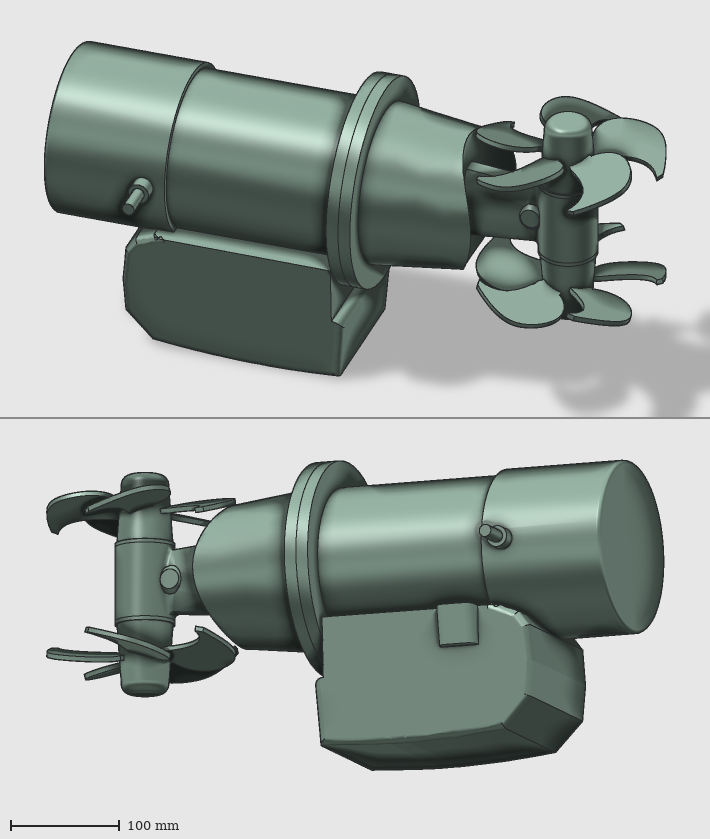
import cadquery as cq
import math

YAW = -2.0

CAP_RADIUS = 80.0
CAP_START = -483.5
CAP_END = -365.5
CAP_FILLET = 4.0
MOTOR_RADIUS = 75.0
TERMINAL_X = -386.0
TERMINAL_BOSS_RADIUS = 10.0
TERMINAL_BOSS_REACH = 93.5
TERMINAL_PIN_RADIUS = 6.0
TERMINAL_PIN_REACH = 122.0

FLANGE_RADIUS = 100.0
FLANGE_THICKNESS = 11.5
JOINT_X = -189.5
MOTOR_FLANGE_START = JOINT_X - FLANGE_THICKNESS
MOUNT_FLANGE_END = JOINT_X + FLANGE_THICKNESS

TUNNEL_RADIUS = 97.0
CONE_BASE_RADIUS = 76.5
CONE_TIP_RADIUS = 63.5
CONE_TIP_X = -69.0

BOX_TOP = -60.0
BOX_BOTTOM = -181.5
BOX_REAR = -412.5
BOX_FRONT = -207.0
BOX_LIP_FRONT = -197.0
BOX_LIP_Z = -116.0
BOX_REAR_RIGHT = -68.5
BOX_REAR_LEFT = 75.0
BOX_FRONT_RIGHT = -71.5
BOX_FRONT_LEFT = 78.5
BOX_SIDE_DRAFT = 3.0
BOX_EDGE_FILLET = 7.0
CONNECTOR_START = -360.0
CONNECTOR_END = -324.0
CONNECTOR_REACH = 93.5
CONNECTOR_BOTTOM_REACH = 86.0
CONNECTOR_BOTTOM = -96.0
CONNECTOR_FILLET = 8.0

GEARBOX_RADIUS = 27.5
GEARBOX_HALF_HEIGHT = 34.5
LEG_ROOT_HALF_HEIGHT = 35.0
LEG_TIP_HALF_HEIGHT = 28.0
LEG_ROOT_HALF_WIDTH = 25.0
LEG_TIP_HALF_WIDTH = 12.5
LEG_EDGE_HALF_WIDTH = 7.5
LEG_TIP_X = -23.0
LEG_FILLET = 4.5
LEG_BOSS_X = -31.0
LEG_BOSS_RADIUS = 13.0
LEG_BOSS_REACH = 17.5
LEG_BOSS_CHAMFER = 4.0

COLLAR_HEIGHT = 3.5
HUB_BASE_RADIUS = 26.0
HUB_TIP_RADIUS = 21.5
HUB_TOP = 102.5
HUB_FILLET = 9.0
BLADE_COUNT = 5
BLADE_Z = 68.0
BLADE_THICKNESS = 4.5
BLADE_PITCH = 17.0
BLADE_FIRST_ANGLE = 101.0


def x_cylinder(radius, start, end):
    return cq.Workplane("YZ").workplane(offset=start).circle(radius).extrude(end - start)


def y_cylinder(radius, x, reach):
    """Cylinder across the motor axis, reaching equally far on both sides."""
    return cq.Workplane("XZ").center(x, 0).circle(radius).extrude(reach, both=True)


def make_motor():
    cap = x_cylinder(CAP_RADIUS, CAP_START, CAP_END).faces("<X").edges().fillet(CAP_FILLET)
    barrel = x_cylinder(MOTOR_RADIUS, CAP_END, MOTOR_FLANGE_START)
    flange = x_cylinder(FLANGE_RADIUS, MOTOR_FLANGE_START, JOINT_X)
    bosses = y_cylinder(TERMINAL_BOSS_RADIUS, TERMINAL_X, TERMINAL_BOSS_REACH)
    pins = y_cylinder(TERMINAL_PIN_RADIUS, TERMINAL_X, TERMINAL_PIN_REACH)
    return cap.union(barrel).union(flange).union(bosses).union(pins)


def make_mount():
    flange = x_cylinder(FLANGE_RADIUS, JOINT_X, MOUNT_FLANGE_END)
    cone = (
        cq.Workplane("XZ")
        .moveTo(MOUNT_FLANGE_END, 0)
        .lineTo(MOUNT_FLANGE_END, CONE_BASE_RADIUS)
        .lineTo(CONE_TIP_X, CONE_TIP_RADIUS)
        .lineTo(CONE_TIP_X, 0)
        .close()
        .revolve(360, (0, 0, 0), (1, 0, 0))
    )
    tunnel = cq.Workplane("XY").circle(TUNNEL_RADIUS).extrude(FLANGE_RADIUS, both=True)
    return flange.union(cone).cut(tunnel)


def make_connector():
    """Plug on the left side of the box, its outer face sloping in towards the bottom."""
    inner = BOX_REAR_LEFT - 2 * BOX_EDGE_FILLET
    return (
        cq.Workplane("YZ")
        .workplane(offset=CONNECTOR_START)
        .moveTo(inner, BOX_TOP)
        .lineTo(CONNECTOR_REACH, BOX_TOP)
        .lineTo(CONNECTOR_BOTTOM_REACH, CONNECTOR_BOTTOM)
        .lineTo(inner, CONNECTOR_BOTTOM)
        .close()
        .extrude(CONNECTOR_END - CONNECTOR_START)
        .faces(">Y")
        .edges("<X or >X")
        .fillet(CONNECTOR_FILLET)
    )


def box_section(x, right, left):
    """Trapezoid wire across the motor axis, narrowing towards the bottom."""
    inset = (BOX_TOP - BOX_BOTTOM) * math.tan(math.radians(BOX_SIDE_DRAFT))
    corners = [(right, BOX_TOP), (left, BOX_TOP), (left - inset, BOX_BOTTOM), (right + inset, BOX_BOTTOM)]
    return cq.Workplane("YZ").workplane(offset=x).polyline(corners).close().wires().val()


def make_control_box(motor):
    side_profile = (
        cq.Workplane("XZ")
        .moveTo(BOX_FRONT, BOX_TOP)
        .lineTo(BOX_FRONT, BOX_LIP_Z)
        .threePointArc((-200.0, -119.0), (BOX_LIP_FRONT, -124.5))
        .lineTo(-201.0, -178.0)
        .threePointArc((-288.0, BOX_BOTTOM), (-384.0, -175.0))
        .lineTo(-410.5, -147.5)
        .lineTo(BOX_REAR, -114.0)
        .lineTo(-409.0, -80.0)
        .lineTo(-399.0, -67.0)
        .lineTo(-381.5, BOX_TOP)
        .close()
        .extrude(2 * BOX_FRONT_LEFT, both=True)
    )
    rear_section = box_section(BOX_REAR, BOX_REAR_RIGHT, BOX_REAR_LEFT)
    front_section = box_section(BOX_LIP_FRONT, BOX_FRONT_RIGHT, BOX_FRONT_LEFT)
    box = side_profile.intersect(cq.Workplane(cq.Solid.makeLoft([rear_section, front_section], True)))
    below_top = cq.selectors.BoxSelector(
        (BOX_REAR - 6, BOX_FRONT_RIGHT - 6, BOX_BOTTOM - 6), (BOX_LIP_FRONT + 6, BOX_FRONT_LEFT + 6, BOX_TOP - 2.0)
    )
    above_lip = cq.selectors.BoxSelector(
        (BOX_FRONT - 3.0, BOX_FRONT_RIGHT - 6, -123.5), (BOX_LIP_FRONT + 6, BOX_FRONT_LEFT + 6, BOX_TOP + 6)
    )
    box = box.edges(below_top - above_lip).edges("not(|Y)").fillet(BOX_EDGE_FILLET)
    return box.union(make_connector()).cut(motor)


def leg_section(x, half_height, half_width):
    """Lens-shaped wire with flat top and bottom edges, across the motor axis."""
    edge = LEG_EDGE_HALF_WIDTH
    return (
        cq.Workplane("YZ")
        .workplane(offset=x)
        .moveTo(-edge, half_height)
        .lineTo(edge, half_height)
        .threePointArc((half_width, 0), (edge, -half_height))
        .lineTo(-edge, -half_height)
        .threePointArc((-half_width, 0), (-edge, half_height))
        .close()
        .wires()
        .val()
    )


def make_gear_leg():
    root = leg_section(-TUNNEL_RADIUS, LEG_ROOT_HALF_HEIGHT, LEG_ROOT_HALF_WIDTH)
    tip = leg_section(LEG_TIP_X, LEG_TIP_HALF_HEIGHT, LEG_TIP_HALF_WIDTH)
    tunnel = cq.Workplane("XY").circle(TUNNEL_RADIUS).extrude(FLANGE_RADIUS, both=True)
    strut = cq.Workplane(cq.Solid.makeLoft([root, tip], True)).intersect(tunnel)
    gearbox = cq.Workplane("XY").circle(GEARBOX_RADIUS).extrude(GEARBOX_HALF_HEIGHT, both=True)
    bosses = y_cylinder(LEG_BOSS_RADIUS, LEG_BOSS_X, LEG_BOSS_REACH)
    bosses = bosses.faces("<Y or >Y").edges().chamfer(LEG_BOSS_CHAMFER)
    root_area = cq.selectors.BoxSelector((-34.5, -23.0, -33.5), (-17.5, 23.0, 33.5))
    leg = gearbox.union(strut).edges(root_area).fillet(LEG_FILLET)
    return leg.union(bosses)


def make_blade():
    """Flat sickle-shaped blade along +X, pitched about its own length."""
    blade = (
        cq.Workplane("XY")
        .moveTo(11.5, 8.5)
        .lineTo(24.0, 12.5)
        .spline([(48.5, 34.0), (71.5, 29.0), (87.0, 15.0), (89.0, -16.0), (82.0, -39.0)], includeCurrent=True)
        .lineTo(75.5, -43.0)
        .spline([(62.0, -18.0), (49.5, -13.0), (27.5, -11.5)], includeCurrent=True)
        .lineTo(11.5, -8.5)
        .close()
        .extrude(BLADE_THICKNESS / 2, both=True)
    )
    return blade.rotate((0, 0, 0), (1, 0, 0), BLADE_PITCH).translate((0, 0, BLADE_Z))


def make_propeller():
    collar_top = GEARBOX_HALF_HEIGHT + COLLAR_HEIGHT
    collar = cq.Workplane("XY").workplane(offset=GEARBOX_HALF_HEIGHT).circle(GEARBOX_RADIUS).extrude(COLLAR_HEIGHT)
    propeller = collar.union(
        cq.Workplane("XZ")
        .moveTo(0, collar_top)
        .lineTo(HUB_BASE_RADIUS, collar_top)
        .lineTo(HUB_TIP_RADIUS, HUB_TOP)
        .lineTo(0, HUB_TOP)
        .close()
        .revolve(360, (0, 0, 0), (0, 1, 0))
        .faces(">Z")
        .edges()
        .fillet(HUB_FILLET)
    )
    blade = make_blade()
    for index in range(BLADE_COUNT):
        angle = BLADE_FIRST_ANGLE + index * 360 / BLADE_COUNT
        propeller = propeller.union(blade.rotate((0, 0, 0), (0, 0, 1), angle))
    return propeller


motor = make_motor()
mount = make_mount()
control_box = make_control_box(motor)
gear_leg = make_gear_leg()
upper_propeller = make_propeller()
lower_propeller = upper_propeller.mirror("XY")

bodies = [motor, mount, control_box, gear_leg, upper_propeller, lower_propeller]
result = cq.Compound.makeCompound([body.rotate((0, 0, 0), (0, 0, 1), YAW).val() for body in bodies])